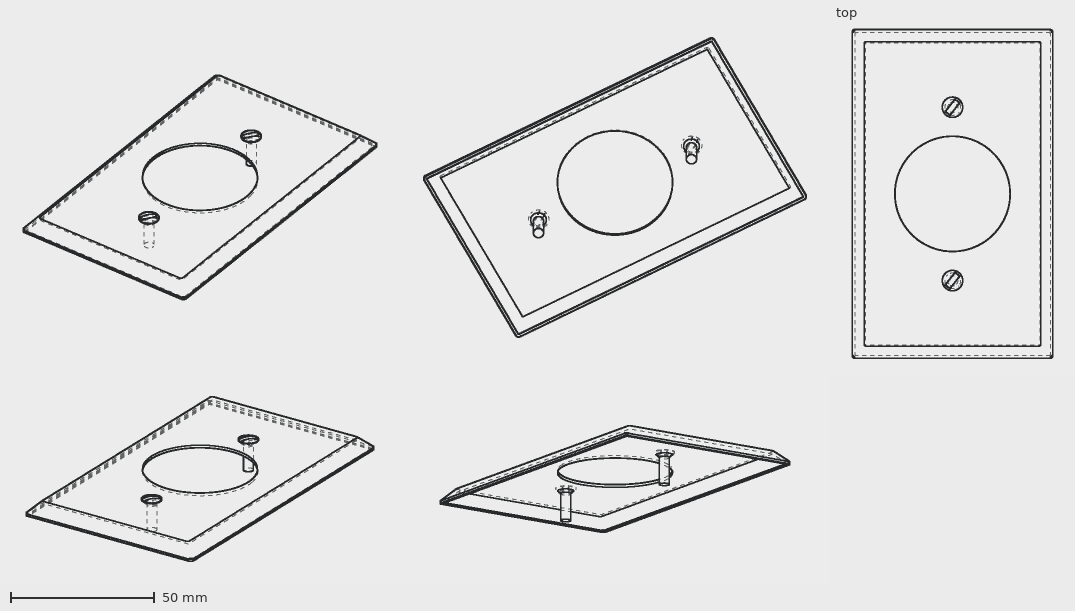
import cadquery as cq
import math

plate_length = 114.3
plate_width = 69.8
plate_height = 5.0
sheet_thickness = 1.0
rim_height = 0.8
corner_radius = 1.1
inner_corner_radius = 0.2

opening_diameter = 40.0

screw_spacing = 60.2
shank_diameter = 3.5
head_diameter = 7.1
dome_height = 0.63
head_recess = 0.2
screw_below_plate = 6.6
slot_width = 2.1
slot_angle = 52.0

inner_rim_height = rim_height - sheet_thickness * (math.sqrt(2) - 1)
screw_bottom = -screw_below_plate
head_radius = head_diameter / 2
shank_radius = shank_diameter / 2
head_rim = plate_height - head_recess
cone_height = head_radius - shank_radius
dome_rise = dome_height + head_recess
dome_radius = (head_radius**2 + dome_rise**2) / (2 * dome_rise)
screw_top = plate_height + dome_height
slot_floor = plate_height - sheet_thickness
screw_positions = [(0, -screw_spacing / 2), (0, screw_spacing / 2)]


def bevelled_block(inset, height, rim, radius):
    """Block with 45 degree bevels above a straight rim, its four corners rounded from rim to top."""
    width = plate_width - 2 * inset
    length = plate_length - 2 * inset
    foot = cq.Workplane("XY").rect(width, length).extrude(rim)
    bevels = cq.Workplane("XY").workplane(offset=rim).rect(width, length).extrude(height - rim, taper=45)
    return foot.union(bevels).edges("not(|X or |Y)").fillet(radius)


def head_seat():
    """Countersink for a screw head, sunk below the top of the plate."""
    cone = cq.Solid.makeCone(shank_radius, head_radius, cone_height)
    cone = cq.Workplane(cone.translate(cq.Vector(0, 0, head_rim - cone_height)))
    recess = cq.Workplane("XY").workplane(offset=head_rim).circle(head_radius).extrude(head_recess)
    return cone.union(recess)


def make_plate():
    """Hollow bevelled plate with the central opening and a seat for each screw."""
    outside = bevelled_block(0, plate_height, rim_height, corner_radius)
    hollow = bevelled_block(
        sheet_thickness, plate_height - sheet_thickness, inner_rim_height, inner_corner_radius
    )
    plate = outside.cut(hollow)
    plate = plate.cut(cq.Workplane("XY").circle(opening_diameter / 2).extrude(plate_height))
    for x, y in screw_positions:
        plate = plate.cut(head_seat().translate((x, y, 0)))
    return plate


def make_screw():
    """Turned screw on the Z axis, with a domed top and a straight slot across its head."""
    dome_middle_x = head_radius / 2
    dome_middle_z = screw_top - dome_radius + math.sqrt(dome_radius**2 - dome_middle_x**2)
    profile = (
        cq.Workplane("XZ")
        .moveTo(0, screw_bottom)
        .lineTo(shank_radius, screw_bottom)
        .lineTo(shank_radius, head_rim - cone_height)
        .lineTo(head_radius, head_rim)
        .threePointArc((dome_middle_x, dome_middle_z), (0, screw_top))
        .close()
    )
    screw = profile.revolve(360, (0, 0, 0), (0, 1, 0))
    slot = (
        cq.Workplane("XY")
        .workplane(offset=slot_floor)
        .rect(head_diameter, slot_width)
        .extrude(screw_top - slot_floor)
        .rotate((0, 0, 0), (0, 0, 1), slot_angle)
    )
    return screw.cut(slot)


plate = make_plate()
screws = [make_screw().translate((x, y, 0)).val() for x, y in screw_positions]
result = cq.Compound.makeCompound([plate.val(), *screws])